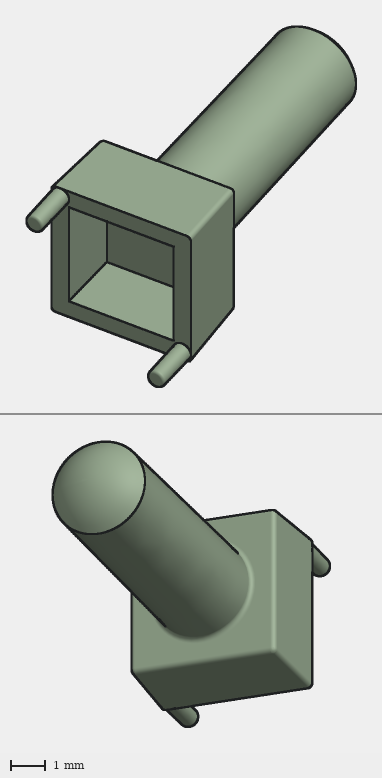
import cadquery as cq
import math

total_length = 13.08
base_width = 4.7
base_length = 2.7
base_draft = 2.0
edge_radius = 0.15

cavity_width = 3.52
cavity_floor_width = 3.34
cavity_depth = 2.0

pin_length = 1.5
pin_root_radius = 0.3
pin_tip_radius = 0.29
pin_tip_rounding = 0.09

shaft_root_radius = 1.49
shaft_end_radius = 1.44
shaft_flare = 0.15
dome_height = 0.68

tip_y = total_length - pin_length
dome_start_y = tip_y - dome_height
cavity_draft = math.degrees(math.atan((cavity_width - cavity_floor_width) / 2 / cavity_depth))
pin_offset = base_width / 2 - pin_root_radius


def square_frustum(front_width, draft, length):
    """Square block from Y = 0 toward +Y, narrowing by the draft angle on each side."""
    return (
        cq.Workplane("ZX")
        .rect(front_width, front_width)
        .extrude(length, taper=draft)
    )


def make_base():
    """Drafted block, rounded on its long edges and around its back face."""
    block = square_frustum(base_width, base_draft, base_length)
    long_edges = block.edges("not(#Y)")
    return long_edges.fillet(edge_radius).faces(">Y").edges().fillet(edge_radius)


def make_shaft():
    """Slightly tapered round shaft with a flared root and a domed end."""
    flare_end_y = base_length + shaft_flare
    flare_mid_inset = shaft_flare * (1 - math.sqrt(0.5))
    dome_radius = (shaft_end_radius**2 + dome_height**2) / (2 * dome_height)
    half_angle = math.asin(shaft_end_radius / dome_radius) / 2
    dome_mid = (
        dome_radius * math.sin(half_angle),
        tip_y - dome_radius * (1 - math.cos(half_angle)),
    )
    return (
        cq.Workplane("XY")
        .moveTo(0, base_length - edge_radius)
        .lineTo(shaft_root_radius + shaft_flare, base_length - edge_radius)
        .lineTo(shaft_root_radius + shaft_flare, base_length)
        .threePointArc(
            (shaft_root_radius + flare_mid_inset, base_length + flare_mid_inset),
            (shaft_root_radius, flare_end_y),
        )
        .lineTo(shaft_end_radius, dome_start_y)
        .threePointArc(dome_mid, (0, tip_y))
        .close()
        .revolve(360, (0, 0, 0), (0, 1, 0))
    )


def make_pin(x, z):
    """Tapered locating pin with a rounded tip, pointing toward -Y."""
    return (
        cq.Workplane("XZ")
        .center(x, z)
        .circle(pin_root_radius)
        .workplane(offset=pin_length)
        .circle(pin_tip_radius)
        .loft()
        .faces("<Y")
        .edges()
        .fillet(pin_tip_rounding)
    )


result = make_base().union(make_shaft())
result = result.cut(square_frustum(cavity_width, cavity_draft, cavity_depth))

for side in (-1, 1):
    result = result.union(make_pin(side * pin_offset, -side * pin_offset))